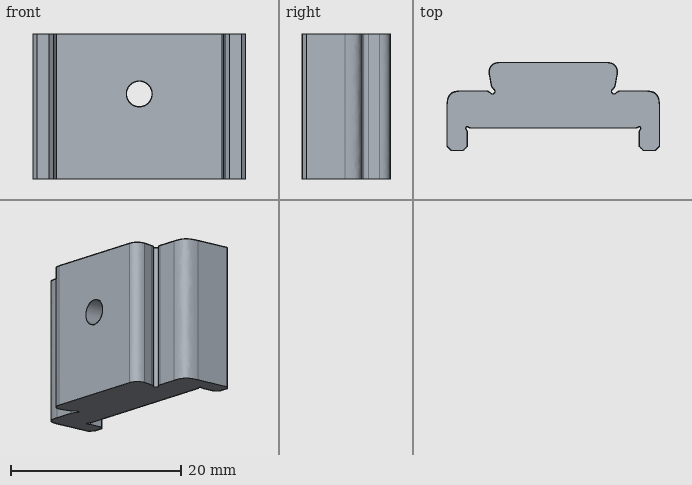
import cadquery as cq

WIDTH = 25.0
DEPTH = 10.35
HEIGHT = 17.05
HALF_WIDTH = WIDTH / 2

LEG_THICKNESS = 2.4
LEG_CHAMFER = 0.5
RECESS_Y = 2.62
LEG_INNER_X = HALF_WIDTH - LEG_THICKNESS

RELIEF_RADIUS = 0.18
RELIEF_FLARE = 0.4
RELIEF_RISE = 0.08

SHOULDER_Y = 7.02
SHOULDER_BLEND = 2.0
BLEND_FULLNESS = 0.8

HEAD_HALF_WIDTH = 7.6
HEAD_BLEND = 1.25
HEAD_FULLNESS = 0.6
TAPER_TOP_X = 7.55
TAPER_TOP_Y = DEPTH - HEAD_BLEND
TAPER_END_X = 7.3
TAPER_END_Y = 7.78

NECK_CENTER_X = 7.12
NECK_CENTER_Y = 6.95
NECK_RADIUS = 0.28
NECK_UPPER_X = 7.0
NECK_UPPER_Y = 7.2
NECK_BULGE_X = 7.22
NECK_BULGE_Y = 7.5
NECK_LIP_X = 7.35
NECK_LIP_Y = NECK_CENTER_Y - 0.2
SHOULDER_START_X = 8.0

HOLE_DIAMETER = 3.0
HOLE_HEIGHT = 10.0


def blend_handle(end, corner, fullness):
    """Return the curve handle lying between a blend's end and its corner."""
    return tuple(e + fullness * (c - e) for e, c in zip(end, corner))


def blend(sketch, start, corner, end, fullness):
    """Add a smooth corner curve from start to end."""
    return sketch.bezier(
        [start, blend_handle(start, corner, fullness), blend_handle(end, corner, fullness), end]
    )


def half_profile():
    """Outline of the +X half of the section, closed along the centre line."""
    relief_start = (LEG_INNER_X - RELIEF_FLARE, RECESS_Y)
    relief_top = (LEG_INNER_X, RECESS_Y + RELIEF_RADIUS)
    relief_side = (LEG_INNER_X + RELIEF_RADIUS, RECESS_Y)
    relief_near = (LEG_INNER_X - RELIEF_RADIUS, RECESS_Y + RELIEF_RISE)
    sketch = (
        cq.Workplane("XY", origin=(0, 0, -HEIGHT / 2))
        .moveTo(0, RECESS_Y)
        .lineTo(*relief_start)
        .lineTo(*relief_near)
        .threePointArc(relief_top, relief_side)
        .lineTo(LEG_INNER_X, RECESS_Y - RELIEF_FLARE)
        .lineTo(LEG_INNER_X, LEG_CHAMFER)
        .lineTo(LEG_INNER_X + LEG_CHAMFER, 0)
        .lineTo(HALF_WIDTH - LEG_CHAMFER, 0)
        .lineTo(HALF_WIDTH, LEG_CHAMFER)
        .lineTo(HALF_WIDTH, SHOULDER_Y - SHOULDER_BLEND)
    )
    sketch = blend(
        sketch,
        (HALF_WIDTH, SHOULDER_Y - SHOULDER_BLEND),
        (HALF_WIDTH, SHOULDER_Y),
        (HALF_WIDTH - SHOULDER_BLEND, SHOULDER_Y),
        BLEND_FULLNESS,
    )
    sketch = (
        sketch.lineTo(SHOULDER_START_X, SHOULDER_Y)
        .tangentArcPoint((NECK_LIP_X, NECK_LIP_Y), relative=False)
        .threePointArc((NECK_CENTER_X - NECK_RADIUS, NECK_CENTER_Y), (NECK_UPPER_X, NECK_UPPER_Y))
        .threePointArc((NECK_BULGE_X, NECK_BULGE_Y), (TAPER_END_X, TAPER_END_Y))
        .lineTo(TAPER_TOP_X, TAPER_TOP_Y)
    )
    sketch = blend(
        sketch,
        (TAPER_TOP_X, TAPER_TOP_Y),
        (HEAD_HALF_WIDTH, DEPTH),
        (HEAD_HALF_WIDTH - HEAD_BLEND, DEPTH),
        HEAD_FULLNESS,
    )
    return sketch.lineTo(0, DEPTH).close()


half_body = half_profile().extrude(HEIGHT)
body = half_body.union(half_body.mirror("YZ")).clean()

hole = (
    cq.Workplane("XZ")
    .center(0, HOLE_HEIGHT - HEIGHT / 2)
    .circle(HOLE_DIAMETER / 2)
    .extrude(-DEPTH)
)

result = body.cut(hole)